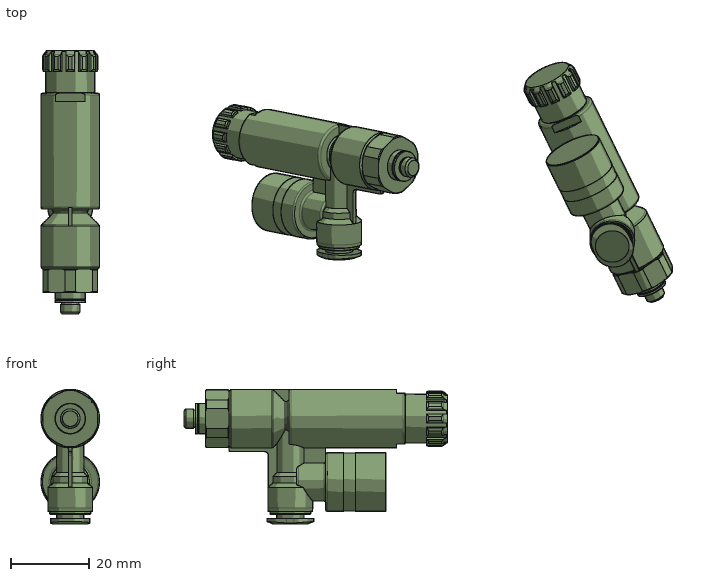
import cadquery as cq
import math


body_dia = 15.0
body_back = 29.3
body_front = -0.4
body_fillet = 0.55
flat_height = 6.5
flat_front = 27.2
waist_dia = 8.8
waist_flare = 0.4
waist_back = -0.9
cone_start = -1.4
cone_end_dia = 14.5
front_body_start = -4.7
front_body_end_edge = 0.5
front_body_end = -15.7
front_body_end_dia = 14.1

hex_across_flats = 14.0
hex_round_dia = 14.9
hex_front = -21.7
hex_edge = 0.25
spigot_dia = 7.8
spigot_front = -24.3
spigot_groove_back = -23.4
spigot_groove_width = 0.3
spigot_groove_depth = 0.12
tip_neck_dia = 4.5
tip_back = -24.8
tip_dia = 5.0
tip_front = -27.2
tip_edge = 0.5

knob_end = 40.2
knob_lug_start = 34.8
knob_core_dia = 12.6
knob_undercut_dia = 12.0
knob_undercut_width = 0.2
knob_dia = 14.2
knob_end_dia = 12.1
lug_count = 12
lug_width = 2.25
lug_top_width = 1.0
lug_bevel_depth = 0.25
lug_bevel_start = 0.6
lug_bevel_end = 0.45
knob_chamfer_length = 1.07

port_axis_z = -16.2
port_dia = 15.0
port_band_dia = 14.9
port_back = 24.5
port_band_back = 16.6
port_band_front = 13.6
port_front = 9.05
port_back_edge = 0.2
port_fillet = 0.4
port_neck_dia = 9.8
port_neck_front = 1.55
port_neck_fillet = 0.5
match_tolerance = 1e-3

stem_dia = 7.0
shoulder_dia = 8.9
shoulder_top = -13.8
shoulder_bevel_bottom = -14.8
collar_cone_top = -16.4
collar_top = -17.6
collar_dia = 11.5
collar_line = -22.8
collar_bottom = -23.7
collar_taper_dia = 11.4
insert_dia = 10.5
insert_bottom = -24.5
insert_edge = 0.2
ring_top = -25.5
ring_bottom = -27.0
ring_length = 12.0
ring_width = 10.0
ring_bevel_top = -26.3
ring_bottom_dia = 8.6

rib_thickness = 1.0
rib_back = port_front
rib_lower_front = -5.65
rib_ledge_z = -8.45
rib_fillet = 1.0
rib_tip_fillet = 0.4


def turn_about_y(profile, axis_z=0.0):
    """Revolve (radius, y) points, closed along the axis, about a line parallel to Y."""
    points = [(0, profile[0][1])] + profile + [(0, profile[-1][1])]
    solid = cq.Workplane("XY").polyline(points).close().revolve(360, (0, 0, 0), (0, 1, 0))
    return solid.translate((0, 0, axis_z))


def turn_about_z(profile):
    """Revolve (radius, z) points, closed along the axis, about Z."""
    points = [(0, profile[0][1])] + profile + [(0, profile[-1][1])]
    return cq.Workplane("XZ").polyline(points).close().revolve(360, (0, 0, 0), (0, 1, 0))


def prism_along_y(sketch, y_start, y_end):
    """Extrude a closed XZ sketch from y_start to y_end."""
    return sketch.extrude(-(y_end - y_start)).translate((0, y_start, 0))


def make_body():
    r = body_dia / 2
    body = turn_about_y([(r, body_back), (r, body_front)]).faces("<Y or >Y").edges().fillet(body_fillet)
    flat_depth = r - flat_height
    flat_length = body_back - flat_front
    for side in (1, -1):
        cutter = cq.Workplane("XY").box(body_dia, flat_length, flat_depth)
        body = body.cut(cutter.translate(
            (0, flat_front + flat_length / 2, side * (flat_height + flat_depth / 2))))
    return body


def make_front_body():
    r = body_dia / 2
    waist_r = waist_dia / 2
    cone_end_r = cone_end_dia / 2
    cone_end = cone_start - (cone_end_r - waist_r)
    return turn_about_y([
        (waist_r + waist_flare, body_front),
        (waist_r, waist_back),
        (waist_r, cone_start),
        (cone_end_r, cone_end),
        (r, front_body_start),
        (r, front_body_end + front_body_end_edge),
        (front_body_end_dia / 2, front_body_end),
    ])


def make_hexagon():
    corner_dia = hex_across_flats / math.cos(math.radians(30))
    sketch = cq.Workplane("XZ").transformed(rotate=(0, 0, 30)).polygon(6, corner_dia)
    hexagon = prism_along_y(sketch, hex_front, front_body_end)
    r = hex_round_dia / 2
    envelope = turn_about_y([
        (r - hex_edge, front_body_end),
        (r, front_body_end - hex_edge),
        (r, hex_front + hex_edge),
        (r - hex_edge, hex_front),
    ])
    return hexagon.intersect(envelope)


def make_tip():
    r = spigot_dia / 2
    groove_middle = spigot_groove_back - spigot_groove_width / 2
    return turn_about_y([
        (r, hex_front),
        (r, spigot_groove_back),
        (r - spigot_groove_depth, groove_middle),
        (r, spigot_groove_back - spigot_groove_width),
        (r, spigot_front),
        (tip_neck_dia / 2, spigot_front),
        (tip_neck_dia / 2, tip_back),
        (tip_dia / 2, tip_back),
        (tip_dia / 2, tip_front + tip_edge),
        (tip_dia / 2 - tip_edge, tip_front),
    ])


def make_lug():
    r = knob_dia / 2
    half = lug_width / 2
    half_top = lug_top_width / 2
    sketch = cq.Workplane("XZ").polyline([
        (-half, 0),
        (half, 0),
        (half, r - lug_bevel_depth),
        (half_top, r),
        (-half_top, r),
        (-half, r - lug_bevel_depth),
    ]).close()
    return prism_along_y(sketch, knob_lug_start, knob_end)


def make_knob():
    skirt_start = body_back + knob_undercut_width
    knob = turn_about_y([
        (knob_undercut_dia / 2, body_back),
        (knob_undercut_dia / 2, skirt_start),
        (knob_core_dia / 2, skirt_start),
        (knob_core_dia / 2, knob_end),
    ])
    lug = make_lug()
    for i in range(lug_count):
        knob = knob.union(lug.rotate((0, 0, 0), (0, 1, 0), i * 360 / lug_count))
    r = math.hypot(knob_dia / 2, lug_top_width / 2)
    bevel_r = r - lug_bevel_depth
    chamfer_start = knob_end - knob_chamfer_length
    envelope = turn_about_y([
        (bevel_r, body_back),
        (bevel_r, knob_lug_start),
        (r, knob_lug_start + lug_bevel_start),
        (r, chamfer_start - lug_bevel_end),
        (bevel_r, chamfer_start),
        (knob_end_dia / 2, knob_end),
    ])
    return knob.intersect(envelope)


def make_port():
    r = port_dia / 2
    band_r = port_band_dia / 2
    head = turn_about_y([
        (r - port_back_edge, port_back),
        (r, port_back - port_back_edge),
        (r, port_band_back),
        (band_r, port_band_back),
        (band_r, port_band_front),
        (r, port_band_front),
        (r, port_front),
    ], port_axis_z)
    head = head.faces("<Y").edges().fillet(port_fillet)
    neck_r = port_neck_dia / 2
    neck = turn_about_y([(neck_r, port_front), (neck_r, port_neck_front)], port_axis_z)
    port = head.union(neck)
    neck_rims = port.edges("%CIRCLE").filter(lambda edge: abs(edge.radius() - neck_r) < match_tolerance)
    return neck_rims.fillet(port_neck_fillet)


def make_stem():
    return turn_about_z([
        (stem_dia / 2, 0),
        (stem_dia / 2, shoulder_top),
        (shoulder_dia / 2, shoulder_bevel_bottom),
        (shoulder_dia / 2, collar_cone_top),
        (collar_dia / 2, collar_top),
        (collar_dia / 2, collar_line),
        (collar_taper_dia / 2, collar_bottom),
        (insert_dia / 2, collar_bottom),
        (insert_dia / 2, insert_bottom + insert_edge),
        (insert_dia / 2 - insert_edge, insert_bottom),
        (stem_dia / 2, insert_bottom),
        (stem_dia / 2, ring_top),
    ])


def make_release_ring():
    slot = (
        cq.Workplane("XY")
        .workplane(offset=ring_bottom)
        .slot2D(ring_length, ring_width, 90)
        .extrude(ring_top - ring_bottom)
    )
    envelope = turn_about_z([
        (ring_length / 2, ring_top),
        (ring_length / 2, ring_bevel_top),
        (ring_bottom_dia / 2, ring_bottom),
    ])
    return slot.intersect(envelope)


def make_rib():
    top = body_dia / 2
    return (
        cq.Workplane("YZ")
        .moveTo(0, top)
        .lineTo(front_body_start, top)
        .lineTo(front_body_start, 0)
        .lineTo(front_body_end, 0)
        .lineTo(front_body_end, rib_ledge_z + rib_tip_fillet)
        .radiusArc((front_body_end + rib_tip_fillet, rib_ledge_z), -rib_tip_fillet)
        .lineTo(rib_lower_front - rib_fillet, rib_ledge_z)
        .radiusArc((rib_lower_front, rib_ledge_z - rib_fillet), rib_fillet)
        .lineTo(rib_lower_front, collar_top)
        .lineTo(0, collar_top)
        .lineTo(0, port_axis_z)
        .lineTo(rib_back, port_axis_z)
        .lineTo(rib_back, 0)
        .lineTo(0, 0)
        .close()
        .extrude(rib_thickness / 2, both=True)
    )


result = make_body()
for feature in (
    make_front_body(),
    make_hexagon(),
    make_tip(),
    make_knob(),
    make_stem(),
    make_release_ring(),
    make_port(),
    make_rib(),
):
    result = result.union(feature)